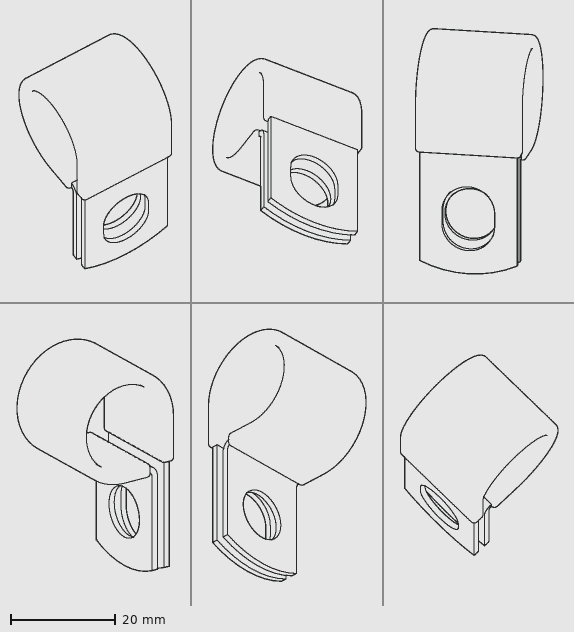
import cadquery as cq
import math

loop_radius = 11.55
cushion_thickness = 2.83
cushion_width = 20.65
edge_round = 0.8
side_tail_end = -9.4
bottom_tail_end = 6.1

strap_thickness = cushion_thickness - 2 * edge_round
strap_width = cushion_width - 2 * edge_round
middle_radius = loop_radius - cushion_thickness / 2
inner_tab_x = 7.3
bend_outer_radius = 2.25

overall_height = 44.85
tab_bottom = loop_radius - overall_height
tab_edge_rise = 2.1
hole_diameter = 10.3
hole_z = -22.25
slot_shift = 1.25


def loop_band(thickness):
    """Three-quarter ring outline, open in the lower +X quadrant."""
    outer = middle_radius + thickness / 2
    inner = middle_radius - thickness / 2
    diagonal = math.sqrt(0.5)
    return (
        cq.Workplane("XZ")
        .moveTo(outer, 0)
        .threePointArc((-outer * diagonal, outer * diagonal), (0, -outer))
        .lineTo(0, -inner)
        .threePointArc((-inner * diagonal, inner * diagonal), (inner, 0))
        .close()
    )


def plate(x_min, x_max, z_min, z_max, width):
    """Rectangular block centred on Y = 0."""
    return cq.Workplane("XY").box(
        x_max - x_min, width, z_max - z_min, centered=(False, True, False)
    ).translate((x_min, 0, z_min))


def banded_path(thickness, width, side_end, bottom_end):
    """Loop with a vertical tail on the +X side and a horizontal tail below."""
    outer = middle_radius + thickness / 2
    inner = middle_radius - thickness / 2
    loop = loop_band(thickness).extrude(width / 2, both=True)
    side_tail = plate(inner, outer, side_end, 0, width)
    bottom_tail = plate(0, bottom_end, -outer, -inner, width)
    return loop.union(side_tail).union(bottom_tail)


def bent_tab():
    """Quarter bend turning the horizontal strap down, followed by its straight tab."""
    outer_x = inner_tab_x + strap_thickness / 2
    inner_x = inner_tab_x - strap_thickness / 2
    strap_top = -middle_radius + strap_thickness / 2
    bend_x = outer_x - bend_outer_radius
    bend_z = strap_top - bend_outer_radius
    bend_inner_radius = bend_outer_radius - strap_thickness
    return (
        cq.Workplane("XZ")
        .moveTo(bend_x, strap_top)
        .radiusArc((outer_x, bend_z), bend_outer_radius)
        .lineTo(outer_x, tab_bottom)
        .lineTo(inner_x, tab_bottom)
        .lineTo(inner_x, bend_z)
        .radiusArc((bend_x, strap_top - strap_thickness), -bend_inner_radius)
        .close()
        .extrude(strap_width / 2, both=True)
    )


def tab_outline():
    """Prism along X, with a curved bottom and a round hole, that trims the strap."""
    half_width = strap_width / 2
    corner_z = tab_bottom + tab_edge_rise
    return (
        cq.Workplane("YZ")
        .moveTo(-half_width, loop_radius)
        .lineTo(-half_width, corner_z)
        .threePointArc((0, tab_bottom), (half_width, corner_z))
        .lineTo(half_width, loop_radius)
        .close()
        .moveTo(0, hole_z)
        .circle(hole_diameter / 2)
        .extrude(loop_radius, both=True)
    )


def slot_cutter():
    """Vertical slot through the straight tab only, starting midway between the tabs."""
    slot_start_x = (inner_tab_x + middle_radius) / 2
    return (
        cq.Workplane("YZ", origin=(slot_start_x, 0, hole_z))
        .slot2D(2 * slot_shift + hole_diameter, hole_diameter, 90)
        .extrude(loop_radius - slot_start_x)
    )


cushion = banded_path(cushion_thickness, cushion_width, side_tail_end, bottom_tail_end)
rim_edges = cushion.faces("<Y or >Y").edges()
side_end = cq.NearestToPointSelector((middle_radius, 0, side_tail_end))
bottom_end = cq.NearestToPointSelector((bottom_tail_end, 0, -middle_radius))
tail_end_edges = cushion.faces(side_end).add(cushion.faces(bottom_end)).edges("|Y")
cushion = rim_edges.add(tail_end_edges).fillet(edge_round)

strap_bend_start = inner_tab_x + strap_thickness / 2 - bend_outer_radius
strap = banded_path(strap_thickness, strap_width, tab_bottom, strap_bend_start)
strap = strap.union(bent_tab()).intersect(tab_outline()).cut(slot_cutter())

result = cushion.union(strap)